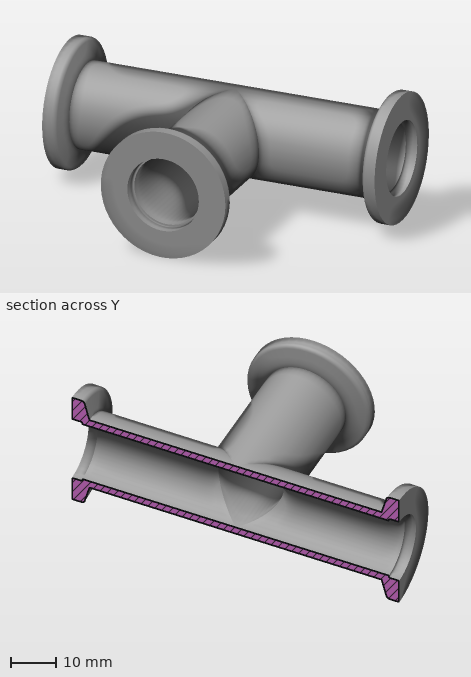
import cadquery as cq
import math

run_length = 80.0
branch_length = 40.0
tube_diameter = 20.0
bore_diameter = 16.0

flange_diameter = 30.0
rim_width = 3.0
taper_angle = math.radians(15.0)
rim_corner_radius = 1.0

recess_diameter = 17.2
recess_depth = 2.5
recess_floor_radius = 0.3

tube_radius = tube_diameter / 2
bore_radius = bore_diameter / 2
flange_radius = flange_diameter / 2
recess_radius = recess_diameter / 2
half_run = run_length / 2
taper_width = (flange_radius - tube_radius) * math.tan(taper_angle)

corner_tangent = rim_corner_radius * math.tan((math.pi / 2 - taper_angle) / 2)

arms = [
    (cq.Vector(-1, 0, 0), half_run),
    (cq.Vector(1, 0, 0), half_run),
    (cq.Vector(0, -1, 0), branch_length),
]


def arm_plane(direction):
    """Half-section plane of an arm: local x is the radius (+Z), local y runs outward."""
    radial = cq.Vector(0, 0, 1)
    return cq.Plane(origin=(0, 0, 0), xDir=radial, normal=radial.cross(direction))


def revolve_about_arm(outline):
    """Full turn of a closed half-section about the arm axis."""
    return outline.close().revolve(360, (0, 0), (0, 1))


def solid_arm(direction, face_distance):
    """Tube and flange of one arm, without its bore."""
    corner = face_distance - rim_width
    taper_end = (
        flange_radius - corner_tangent * math.cos(taper_angle),
        corner - corner_tangent * math.sin(taper_angle),
    )
    outline = (
        cq.Workplane(arm_plane(direction))
        .lineTo(tube_radius, 0)
        .lineTo(tube_radius, corner - taper_width)
        .lineTo(*taper_end)
        .radiusArc((flange_radius, corner + corner_tangent), -rim_corner_radius)
        .lineTo(flange_radius, face_distance)
        .lineTo(0, face_distance)
    )
    return revolve_about_arm(outline)


def arm_bore(direction, face_distance):
    """Bore of one arm, widened to the recess at the flange face."""
    recess_floor = face_distance - recess_depth
    outline = (
        cq.Workplane(arm_plane(direction))
        .lineTo(bore_radius, 0)
        .lineTo(bore_radius, recess_floor)
        .lineTo(recess_radius - recess_floor_radius, recess_floor)
        .radiusArc((recess_radius, recess_floor + recess_floor_radius), -recess_floor_radius)
        .lineTo(recess_radius, face_distance)
        .lineTo(0, face_distance)
    )
    return revolve_about_arm(outline)


def join_arms(make_arm):
    """Union of the same shape made on every arm."""
    joined = cq.Workplane()
    for direction, face_distance in arms:
        joined = joined.add(make_arm(direction, face_distance))
    return joined.combine()


result = join_arms(solid_arm).cut(join_arms(arm_bore))